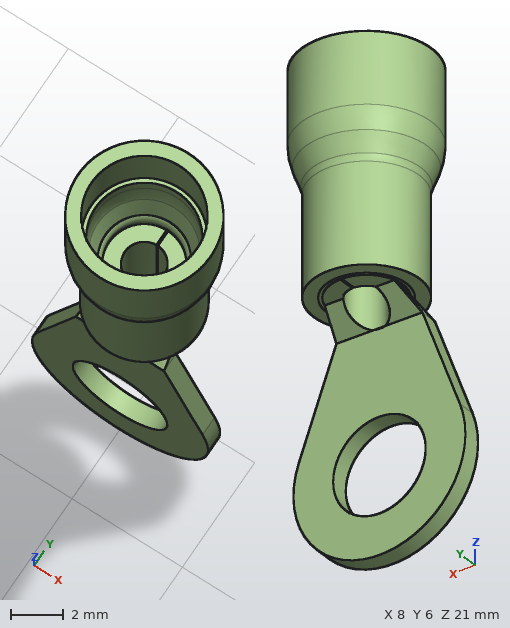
import cadquery as cq
import math

TOTAL_HEIGHT = 21.0

EYE_RADIUS = 4.0
STUD_HOLE_RADIUS = 2.15
TONGUE_THICKNESS = 0.85
TONGUE_TOP = 10.05
TONGUE_TOP_HALF_WIDTH = 2.0

BARREL_RADIUS = 1.68
BORE_RADIUS = 0.88
BARREL_TOP = 15.33
SEAM_WIDTH = 0.06
NECK_BACK_Y = 0.46
NECK_CORNER_ANGLE = 10.0
TONGUE_FRONT_Y = -BARREL_RADIUS
TONGUE_BACK_Y = TONGUE_FRONT_Y + TONGUE_THICKNESS

INSULATOR_BOTTOM = 10.98
INSULATOR_RADIUS = 3.0
GRIP_RADIUS = 2.446
INSULATOR_WALL = 0.6
SHOULDER_TOP = 17.75
CONE_TOP = 16.74
CONE_BOTTOM = 15.9
SHOULDER_BOTTOM = 15.56
CONE_TOP_RADIUS = 2.81
CONE_BOTTOM_RADIUS = 2.5

SLEEVE_TOP = 18.4
SLEEVE_WALL = 0.19
FUNNEL_TOP_RADIUS = 2.1
FUNNEL_BOTTOM_RADIUS = 1.76
LIP_RADIUS = 1.6
SLEEVE_RADIUS = INSULATOR_RADIUS - INSULATOR_WALL
SLEEVE_GRIP_RADIUS = GRIP_RADIUS - INSULATOR_WALL


def stepped_solid(bottom, top, low_r, cone_low_r, cone_high_r, high_r):
    """Solid of revolution: two cylinders joined by a cone with rounded ends."""
    return (
        cq.Workplane("XZ")
        .moveTo(0, bottom)
        .lineTo(low_r, bottom)
        .lineTo(low_r, SHOULDER_BOTTOM)
        .tangentArcPoint((cone_low_r, CONE_BOTTOM), relative=False)
        .lineTo(cone_high_r, CONE_TOP)
        .spline([(high_r, SHOULDER_TOP)],
                tangents=[(cone_high_r - cone_low_r, CONE_TOP - CONE_BOTTOM), (0, 1)],
                includeCurrent=True)
        .lineTo(high_r, top)
        .lineTo(0, top)
        .close()
        .revolve(360, (0, 0, 0), (0, 1, 0))
    )


def cylinder(radius, bottom, top):
    return cq.Workplane("XY").workplane(offset=bottom).circle(radius).extrude(top - bottom)


def make_lining_envelope():
    """Outer shape of the sleeve, which is also the cavity of the insulator."""
    return stepped_solid(
        INSULATOR_BOTTOM, SLEEVE_TOP, SLEEVE_GRIP_RADIUS,
        CONE_BOTTOM_RADIUS - INSULATOR_WALL, CONE_TOP_RADIUS - INSULATOR_WALL, SLEEVE_RADIUS,
    )


def make_insulator():
    body = stepped_solid(
        INSULATOR_BOTTOM, TOTAL_HEIGHT, GRIP_RADIUS,
        CONE_BOTTOM_RADIUS, CONE_TOP_RADIUS, INSULATOR_RADIUS,
    )
    mouth = cylinder(SLEEVE_RADIUS, SLEEVE_TOP, TOTAL_HEIGHT)
    return body.cut(make_lining_envelope()).cut(mouth)


def make_sleeve():
    funnel = stepped_solid(
        BARREL_TOP, SLEEVE_TOP, LIP_RADIUS,
        FUNNEL_BOTTOM_RADIUS, FUNNEL_TOP_RADIUS, SLEEVE_RADIUS - SLEEVE_WALL,
    )
    barrel_seat = cylinder(BARREL_RADIUS, INSULATOR_BOTTOM, BARREL_TOP)
    return make_lining_envelope().cut(funnel).cut(barrel_seat)


def make_tongue():
    """Flat eye whose straight sides run tangent from the eye to the neck."""
    rise = TONGUE_TOP - EYE_RADIUS
    corner_distance = math.hypot(TONGUE_TOP_HALF_WIDTH, rise)
    tangent_angle = (math.atan2(rise, TONGUE_TOP_HALF_WIDTH)
                     - math.acos(EYE_RADIUS / corner_distance))
    tangent_x = EYE_RADIUS * math.cos(tangent_angle)
    tangent_z = EYE_RADIUS + EYE_RADIUS * math.sin(tangent_angle)
    return (
        cq.Workplane("XZ", origin=(0, TONGUE_BACK_Y, 0))
        .moveTo(-TONGUE_TOP_HALF_WIDTH, TONGUE_TOP)
        .lineTo(-tangent_x, tangent_z)
        .threePointArc((0, 0), (tangent_x, tangent_z))
        .lineTo(TONGUE_TOP_HALF_WIDTH, TONGUE_TOP)
        .close()
        .moveTo(0, EYE_RADIUS)
        .circle(STUD_HOLE_RADIUS)
        .extrude(TONGUE_THICKNESS)
    )


def make_neck():
    """Ruled transition from the flat tongue to the round barrel."""
    corner = math.radians(NECK_CORNER_ANGLE)
    corner_x = BARREL_RADIUS * math.cos(corner)
    corner_y = BARREL_RADIUS * math.sin(corner)
    back_x = math.sqrt(BARREL_RADIUS**2 - NECK_BACK_Y**2)
    side_y = (corner_y + NECK_BACK_Y) / 2
    side_x = math.sqrt(BARREL_RADIUS**2 - side_y**2)
    return (
        cq.Workplane("XY")
        .workplane(offset=TONGUE_TOP)
        .moveTo(-TONGUE_TOP_HALF_WIDTH, TONGUE_BACK_Y)
        .lineTo(-TONGUE_TOP_HALF_WIDTH, TONGUE_FRONT_Y)
        .lineTo(TONGUE_TOP_HALF_WIDTH, TONGUE_FRONT_Y)
        .lineTo(TONGUE_TOP_HALF_WIDTH, TONGUE_BACK_Y)
        .close()
        .workplane(offset=INSULATOR_BOTTOM - TONGUE_TOP)
        .moveTo(-back_x, NECK_BACK_Y)
        .threePointArc((-side_x, side_y), (-corner_x, corner_y))
        .threePointArc((0, -BARREL_RADIUS), (corner_x, corner_y))
        .threePointArc((side_x, side_y), (back_x, NECK_BACK_Y))
        .close()
        .loft(ruled=True)
    )


def make_terminal():
    barrel = cylinder(BARREL_RADIUS, INSULATOR_BOTTOM, BARREL_TOP)
    bore = cylinder(BORE_RADIUS, TONGUE_TOP, BARREL_TOP)
    seam = (
        cq.Workplane("XY")
        .workplane(offset=INSULATOR_BOTTOM)
        .center(0, BARREL_RADIUS / 2)
        .rect(SEAM_WIDTH, BARREL_RADIUS)
        .extrude(BARREL_TOP - INSULATOR_BOTTOM)
    )
    return barrel.union(make_neck()).union(make_tongue()).cut(bore).cut(seam)


insulator = make_insulator()
sleeve = make_sleeve()
terminal = make_terminal()

result = cq.Compound.makeCompound([insulator.val(), sleeve.val(), terminal.val()])